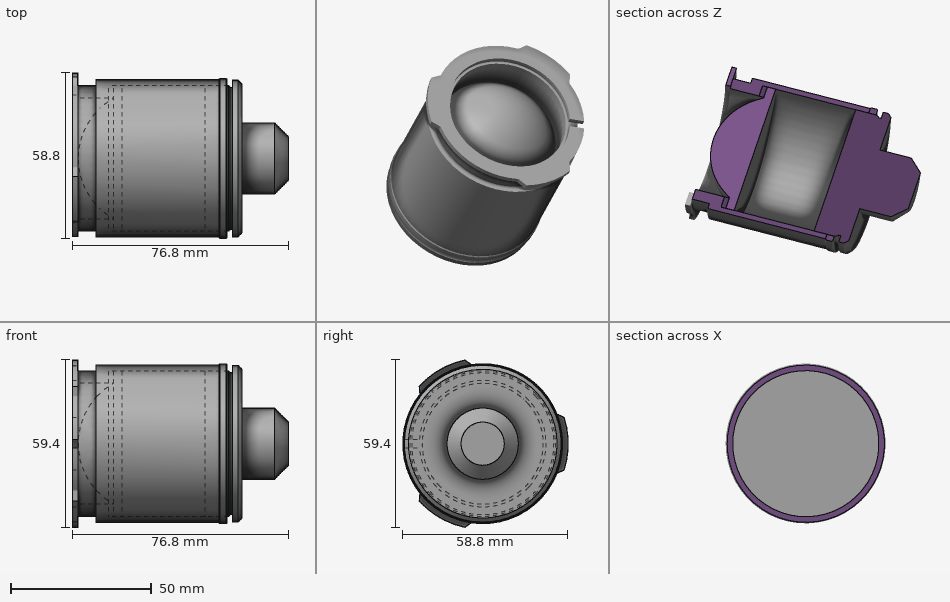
import cadquery as cq
import math


FLANGE_BACK = 1.9
SLEEVE_FRONT = 8.3
BORE_BACK = 12.8
RETAINER_BACK = 14.6
SLEEVE_BACK = 52.2
RING_BACK = 54.85
THREAD_BACK = 56.1
CAP_FRONT = 56.85
CAP_BACK = 60.3
STUB_BACK = 76.8

FLANGE_RADIUS = 27.8
FLANGE_BORE_RADIUS = 22.5
LUG_RADIUS = 30.4
THREAD_RADIUS = 25.9
BORE_RADIUS = 21.5
SLEEVE_RADIUS = 28.05
RING_RADIUS = 28.4
CAP_RADIUS = 27.9
STUB_RADIUS = 12.7

THREAD_CHAMFER = 0.6
RING_CHAMFER = 0.2
CAP_CHAMFER = 1.45
STUB_CHAMFER = 5.0

SPIGOT_ENGAGEMENT = 5.0

LUG_COUNT = 3
LUG_TIP_HALF_ANGLE = 17.9
LUG_BASE_HALF_ANGLE = 23.2
LUG_ROOT_FILLET = 1.0
SLOT_WIDTH = 3.0

LENS_APEX = 2.0
LENS_EDGE = 3.1


def polar(radius, degrees):
    """Point at a radius and an angle measured from +Y towards +Z."""
    angle = math.radians(degrees)
    return (radius * math.cos(angle), radius * math.sin(angle))


def cylinder(radius, start, end):
    """Solid cylinder on the X axis between two X positions."""
    return cq.Workplane("YZ", origin=(start, 0, 0)).circle(radius).extrude(end - start)


def tube(outer_radius, inner_radius, start, end):
    """Hollow cylinder on the X axis between two X positions."""
    profile = cq.Workplane("YZ", origin=(start, 0, 0)).circle(outer_radius).circle(inner_radius)
    return profile.extrude(end - start)


def make_lug(center_angle):
    """Bayonet lug with a round tip and flanks that spread towards its base."""
    return (
        cq.Workplane("YZ")
        .moveTo(0, 0)
        .lineTo(*polar(FLANGE_RADIUS, center_angle - LUG_BASE_HALF_ANGLE))
        .lineTo(*polar(LUG_RADIUS, center_angle - LUG_TIP_HALF_ANGLE))
        .threePointArc(
            polar(LUG_RADIUS, center_angle),
            polar(LUG_RADIUS, center_angle + LUG_TIP_HALF_ANGLE),
        )
        .lineTo(*polar(FLANGE_RADIUS, center_angle + LUG_BASE_HALF_ANGLE))
        .close()
        .extrude(FLANGE_BACK)
    )


def make_flange():
    """Bayonet plate with three lugs, a bore and a radial slot on the -Y side."""
    flange = cylinder(FLANGE_RADIUS, 0, FLANGE_BACK)
    for index in range(LUG_COUNT):
        flange = flange.union(make_lug(index * 360 / LUG_COUNT))
    for index in range(LUG_COUNT):
        for side in (-1, 1):
            root = polar(FLANGE_RADIUS, index * 360 / LUG_COUNT + side * LUG_BASE_HALF_ANGLE)
            root_edge = cq.selectors.NearestToPointSelector((FLANGE_BACK / 2, *root))
            flange = flange.edges("|X").edges(root_edge).fillet(LUG_ROOT_FILLET)
    slot = (
        cq.Workplane("XY")
        .box(FLANGE_BACK, FLANGE_RADIUS, SLOT_WIDTH, centered=(False, False, True))
        .translate((0, -FLANGE_RADIUS, 0))
    )
    return flange.cut(cylinder(FLANGE_BORE_RADIUS, 0, FLANGE_BACK)).cut(slot)


def make_housing():
    """Barrel with a narrower front neck, a front bore and a wider bore from the back."""
    neck = cylinder(THREAD_RADIUS, FLANGE_BACK, SLEEVE_FRONT)
    sleeve = cylinder(SLEEVE_RADIUS, SLEEVE_FRONT, SLEEVE_BACK)
    front_bore = cylinder(BORE_RADIUS, FLANGE_BACK, BORE_BACK)
    back_bore = cylinder(THREAD_RADIUS, BORE_BACK, SLEEVE_BACK)
    return neck.union(sleeve).cut(front_bore).cut(back_bore)


def make_retainer():
    """Ring between the shoulder of the housing bore and the rim of the lens."""
    return tube(THREAD_RADIUS, BORE_RADIUS, BORE_BACK, RETAINER_BACK)


def make_lens():
    """Spherical dome towards the flange on a flat-backed rim that fits the wider bore."""
    height = RETAINER_BACK - LENS_APEX
    sphere_radius = (BORE_RADIUS**2 + height**2) / (2 * height)
    sphere = cq.Workplane("XY").sphere(sphere_radius).translate((LENS_APEX + sphere_radius, 0, 0))
    dome = sphere.intersect(cylinder(sphere_radius, LENS_APEX, RETAINER_BACK))
    rim = cylinder(THREAD_RADIUS, RETAINER_BACK, RETAINER_BACK + LENS_EDGE)
    return dome.union(rim)


def make_lock_ring():
    """Ring behind the housing, chamfered on both outer edges."""
    blank = cylinder(RING_RADIUS, SLEEVE_BACK, RING_BACK).faces("<X or >X").chamfer(RING_CHAMFER)
    return blank.cut(cylinder(THREAD_RADIUS, SLEEVE_BACK, RING_BACK))


def make_end_cap():
    """Cap that closes the housing: spigot, relief groove, chamfered disc and tapered stub."""
    spigot = cylinder(THREAD_RADIUS, SLEEVE_BACK - SPIGOT_ENGAGEMENT, THREAD_BACK)
    spigot = spigot.faces(">X").chamfer(THREAD_CHAMFER)
    groove_core = cylinder(THREAD_RADIUS - THREAD_CHAMFER, THREAD_BACK, CAP_FRONT)
    disc = cylinder(CAP_RADIUS, CAP_FRONT, CAP_BACK).faces(">X").chamfer(CAP_CHAMFER)
    stub = cylinder(STUB_RADIUS, CAP_BACK, STUB_BACK).faces(">X").chamfer(STUB_CHAMFER)
    return spigot.union(groove_core).union(disc).union(stub)


flange = make_flange()
housing = make_housing()
retainer = make_retainer()
lens = make_lens()
lock_ring = make_lock_ring()
end_cap = make_end_cap()

result = cq.Compound.makeCompound([
    flange.val(),
    housing.val(),
    retainer.val(),
    lens.val(),
    lock_ring.val(),
    end_cap.val(),
])